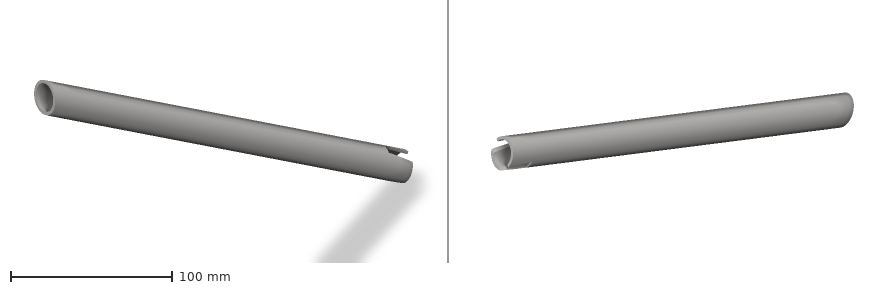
import cadquery as cq
import math

outer_diameter = 21.3
wall_thickness = 2.0
inner_diameter = outer_diameter - 2 * wall_thickness

upper_end_x = 42.9
upper_end_y = -273.8
upper_end_z = 198.5

lower_face_pitch = -23.5
lower_face_yaw = 0.0
upper_face_pitch = 12.0
upper_face_yaw = 8.0

slot_width = 7.5
slot_depth = 21.0
slot_center_x = 3.4

overrun = 2 * outer_diameter

lower_center = cq.Vector(0, 0, 0)
upper_center = cq.Vector(upper_end_x, upper_end_y, upper_end_z)
axis = (upper_center - lower_center).normalized()


def end_plane(center, y_sense, pitch, yaw):
    """Plane of an end face: normal points out of the tube, local X is horizontal."""
    pitch_angle = math.radians(pitch)
    yaw_angle = math.radians(yaw)
    horizontal = math.cos(pitch_angle)
    normal = cq.Vector(
        horizontal * math.sin(yaw_angle),
        y_sense * horizontal * math.cos(yaw_angle),
        math.sin(pitch_angle),
    )
    level = cq.Vector(0, 0, 1).cross(normal)
    return cq.Plane(origin=center, xDir=level, normal=normal)


def long_tube():
    """Square-ended tube that runs past both mitred faces."""
    start = lower_center - axis * overrun
    length = (upper_center - lower_center).Length + 2 * overrun
    return (
        cq.Workplane(cq.Plane(origin=start, normal=axis))
        .circle(outer_diameter / 2)
        .circle(inner_diameter / 2)
        .extrude(length)
    )


def waste_beyond(plane):
    """Block that removes everything outside an end face."""
    return cq.Workplane(plane).rect(2 * overrun, 2 * overrun).extrude(2 * overrun)


def plate_slot(plane):
    """Slot through both walls, with its floor parallel to the lower end face."""
    slot_center = cq.Vector(slot_center_x, 0, 0)
    slot_plane = cq.Plane(origin=slot_center, xDir=plane.xDir, normal=plane.zDir)
    return cq.Workplane(slot_plane).rect(slot_width, 2 * overrun).extrude(-slot_depth)


lower_plane = end_plane(lower_center, 1, lower_face_pitch, lower_face_yaw)
upper_plane = end_plane(upper_center, -1, upper_face_pitch, upper_face_yaw)

result = long_tube()
result = result.cut(waste_beyond(lower_plane))
result = result.cut(waste_beyond(upper_plane))
result = result.cut(plate_slot(lower_plane))